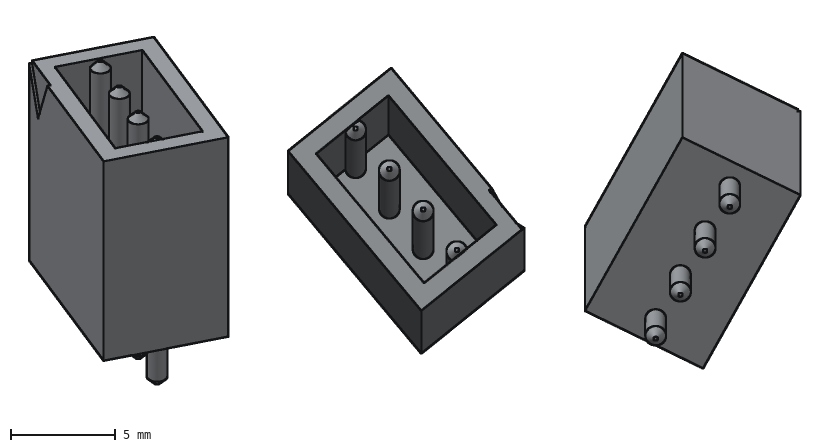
import cadquery as cq

housing_length = 10.01
housing_width = 6.35
wall = 0.95
floor_thickness = wall

pin_count = 4
pin_pitch = 2.54
pin_diameter = 1.0
pin_length = 13.64
pin_chamfer = 0.4
pin_tail = 2.59
first_pin_x = -pin_pitch * (pin_count - 1) / 2

housing_bottom = pin_tail
housing_top = pin_length
housing_height = housing_top - housing_bottom

marker_half_width = pin_pitch / 2
marker_height = 2.52
marker_depth = 0.15


def make_pin(x):
    """One pin standing on z = 0 at the given x."""
    pin = cq.Workplane("XY").center(x, 0).circle(pin_diameter / 2).extrude(pin_length)
    return pin.faces("<Z or >Z").chamfer(pin_chamfer)


def make_marker_cutter():
    """Triangular prism for the recess over the first pin."""
    return (
        cq.Workplane("XZ", origin=(first_pin_x, -housing_width / 2 + marker_depth, housing_top))
        .moveTo(-marker_half_width, 0)
        .lineTo(marker_half_width, 0)
        .lineTo(0, -marker_height)
        .close()
        .extrude(marker_depth)
    )


def make_housing(pins):
    """Box with a cavity, the marker recess and a fitting hole for every pin."""
    body = (
        cq.Workplane("XY", origin=(0, 0, housing_bottom))
        .rect(housing_length, housing_width)
        .extrude(housing_height)
    )
    cavity = (
        cq.Workplane("XY", origin=(0, 0, housing_bottom + floor_thickness))
        .rect(housing_length - 2 * wall, housing_width - 2 * wall)
        .extrude(housing_height - floor_thickness)
    )
    body = body.cut(cavity).cut(make_marker_cutter())
    for pin in pins:
        body = body.cut(pin)
    return body


pins = [make_pin(first_pin_x + i * pin_pitch) for i in range(pin_count)]
housing = make_housing(pins)

result = cq.Compound.makeCompound([housing.val(), *[pin.val() for pin in pins]])